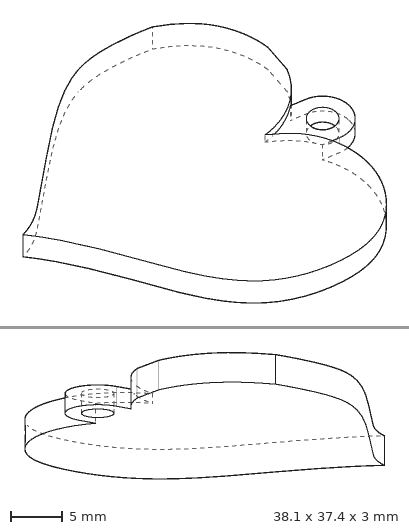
import cadquery as cq

plate_thickness = 3.0
right_extreme = (19.03, 23.8)
lobe_top = 34.25
axis_x = -0.15
tip = (axis_x, 0)
cleft = (axis_x, 27.65)
left_shoulder = (-19.0, 26.07)
left_flat_start = (-10.65, lobe_top)
left_flat_end = (-7.05, lobe_top)
right_lobe_peak = (8.95, lobe_top)

loop_thickness = 2.0
loop_radius = 3.2
loop_hole_diameter = 3.2
loop_center = (axis_x, 34.18)

left_side = [
    (-1.5, 1.98),
    (-3.85, 4.05),
    (-8.95, 8.03),
    (-14.42, 12.75),
    (-17.65, 17.0),
    (-18.88, 21.9),
    left_shoulder,
]
left_lobe = [(-18.05, 28.55), (-16.6, 30.8), (-14.0, 32.95), left_flat_start]
left_cleft_side = [(-3.95, 32.9), (-1.6, 30.6), cleft]
right_cleft_side = [(0.4, 28.93), (1.52, 30.7), (3.95, 32.85), right_lobe_peak]
right_lobe = [(14.05, 32.95), (17.28, 30.05), right_extreme]
right_side = [(17.65, 17.0), (14.7, 12.9), (8.68, 7.9), (3.73, 3.92), tip]


def heart_plate():
    """Heart with a short flat on top of its left lobe and corners at tip, cleft and left shoulder."""
    outline = (
        cq.Workplane("XY")
        .moveTo(*tip)
        .spline(left_side, includeCurrent=True)
        .spline(left_lobe, includeCurrent=True)
        .lineTo(*left_flat_end)
        .spline(left_cleft_side, includeCurrent=True)
        .spline(right_cleft_side + right_lobe + right_side, includeCurrent=True)
        .close()
    )
    return outline.extrude(plate_thickness)


def hanging_loop():
    """Round-ended tab with a through hole that runs down into the plate at the cleft."""
    tab_length = loop_center[1] - cleft[1]
    loop_plane = cq.Workplane("XY").center(*loop_center)
    tab = (
        loop_plane.moveTo(-loop_radius, 0)
        .threePointArc((0, loop_radius), (loop_radius, 0))
        .lineTo(loop_radius, -tab_length)
        .lineTo(-loop_radius, -tab_length)
        .close()
        .extrude(loop_thickness)
    )
    hole = loop_plane.circle(loop_hole_diameter / 2).extrude(loop_thickness)
    return tab.cut(hole)


result = heart_plate().union(hanging_loop())